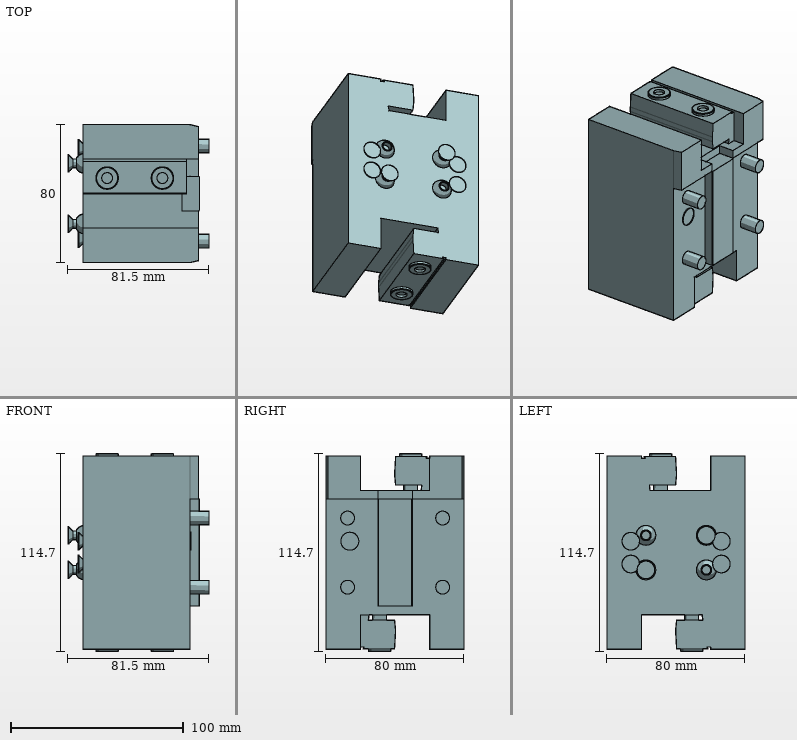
import cadquery as cq

BODY_LENGTH = 62.0
BODY_WIDTH = 80.0
BODY_HEIGHT = 112.0
HALF_HEIGHT = BODY_HEIGHT / 2
SLOT_WIDTH = 40.0
SLOT_DEPTH = 20.0
SLOT_FLOOR_Z = HALF_HEIGHT - SLOT_DEPTH

PLATE_THICKNESS = 5.0
PLATE_BOTTOM_Z = 31.0
PLATE_CHAMFER_WIDTH = 1.2
PLATE_FACE_X = BODY_LENGTH + PLATE_THICKNESS

KEY_WIDTH = 20.0
KEY_BACK_X = 57.3
KEY_PROUD = 0.5
KEY_EDGE_CHAMFER = 0.4
KEY_BOTTOM_Z = -PLATE_BOTTOM_Z

JAW_LENGTH = 60.0
JAW_TOP_RECESS = 0.35
JAW_TOP_Z = HALF_HEIGHT - JAW_TOP_RECESS
JAW_BOTTOM_Z = 39.0
JAW_FACE_Y = 0.25
JAW_RIDGE_Y = -0.25
JAW_RIDGE_TOP_Z = 47.0
JAW_RIDGE_BOTTOM_Z = 44.0
RELIEF_FLOOR_Z = 54.7
RELIEF_FLOOR_Y = 17.9
RELIEF_TOP_Y = 18.6
GAP_END_TOP_Y = 15.4
GAP_END_FLOOR_Y = 15.0

BOLT_X = (14.0, 46.0)
BOLT_Y = 9.0
BOLT_SHANK_DIAMETER = 8.2
BOLT_HEAD_DIAMETER = 13.0
BOLT_HEAD_TOP_Z = 57.35
BOLT_HEAD_CHAMFER = 0.4
BOLT_SOCKET_DIAMETER = 6.3
BOLT_SOCKET_DEPTH = 1.5

PIN_DIAMETER = 8.0
PIN_END_X = 73.0
PIN_Y = 27.5
PIN_Z = 20.0

BUTTON_Y = 17.5
BUTTON_Z = 10.0
BUTTON_RADIUS = 5.75
BUTTON_TOP_RADIUS = 3.1
BUTTON_HEIGHT = 3.8
BUTTON_MID_RADIUS = 4.8
BUTTON_MID_HEIGHT = 2.2
BUTTON_SOCKET_DIAMETER = 5.0
BUTTON_SOCKET_DEPTH = 3.5

CSK_HEAD_RADIUS = 5.1
CSK_NECK_RADIUS = 2.6
CSK_CONE_HEIGHT = CSK_HEAD_RADIUS - CSK_NECK_RADIUS
LOW_CSK_Y = 26.2
LOW_CSK_Z = 6.6
LOW_CSK_TOP = 2.8
LOW_CSK_RIM = 0.45
HIGH_CSK_TOP = 8.55
HIGH_CSK_RIM = 0.2

DISC_DIAMETER = 10.4
DISC_HEIGHT = 0.5

OVERLAP = 1.0


def turned_to_bottom(shape):
    """Return the shape turned half a turn about X, from the top end to the bottom end."""
    return shape.rotate((0, 0, 0), (1, 0, 0), 180)


def x_cylinder(diameter, start_x, end_x, y, z):
    disc = cq.Workplane("YZ", origin=(start_x, y, z)).circle(diameter / 2)
    return disc.extrude(end_x - start_x)


def make_body():
    block = cq.Workplane("XY").box(BODY_LENGTH, BODY_WIDTH, BODY_HEIGHT, centered=(False, True, True))
    slot = cq.Workplane("XY", origin=(0, 0, SLOT_FLOOR_Z)).box(
        BODY_LENGTH, SLOT_WIDTH, SLOT_DEPTH, centered=(False, True, False)
    )
    return block.cut(slot).cut(turned_to_bottom(slot))


def make_end_plate():
    half_width = BODY_WIDTH / 2
    face_half_width = half_width - PLATE_CHAMFER_WIDTH
    outline = [
        (BODY_LENGTH, -half_width),
        (PLATE_FACE_X, -face_half_width),
        (PLATE_FACE_X, face_half_width),
        (BODY_LENGTH, half_width),
    ]
    plate = (
        cq.Workplane("XY", origin=(0, 0, PLATE_BOTTOM_Z))
        .polyline(outline)
        .close()
        .extrude(HALF_HEIGHT - PLATE_BOTTOM_Z)
    )
    slot = cq.Workplane("XY", origin=(BODY_LENGTH, 0, SLOT_FLOOR_Z)).box(
        PLATE_THICKNESS, SLOT_WIDTH, SLOT_DEPTH, centered=(False, True, False)
    )
    return plate.cut(slot)


def make_key_notch():
    """Opening above the key, through the slot floor and the end plate."""
    return cq.Workplane("XY", origin=(KEY_BACK_X, 0, PLATE_BOTTOM_Z)).box(
        PLATE_FACE_X - KEY_BACK_X, KEY_WIDTH, SLOT_FLOOR_Z - PLATE_BOTTOM_Z, centered=(False, True, False)
    )


def make_key():
    key_face_x = PLATE_FACE_X + KEY_PROUD
    key = cq.Workplane("XY", origin=(KEY_BACK_X, 0, KEY_BOTTOM_Z)).box(
        key_face_x - KEY_BACK_X, KEY_WIDTH, PLATE_BOTTOM_Z - KEY_BOTTOM_Z, centered=(False, True, False)
    )
    return key.faces(">X").edges("|Z").chamfer(KEY_EDGE_CHAMFER)


def make_jaw():
    slot_wall_y = SLOT_WIDTH / 2
    outline = [
        (slot_wall_y, RELIEF_FLOOR_Z),
        (RELIEF_FLOOR_Y, RELIEF_FLOOR_Z),
        (RELIEF_TOP_Y, JAW_TOP_Z),
        (JAW_FACE_Y, JAW_TOP_Z),
        (JAW_RIDGE_Y, JAW_RIDGE_TOP_Z),
        (JAW_RIDGE_Y, JAW_RIDGE_BOTTOM_Z),
        (JAW_FACE_Y, JAW_BOTTOM_Z),
        (GAP_END_TOP_Y, JAW_BOTTOM_Z),
        (GAP_END_FLOOR_Y, SLOT_FLOOR_Z),
        (slot_wall_y, SLOT_FLOOR_Z),
    ]
    return cq.Workplane("YZ").polyline(outline).close().extrude(JAW_LENGTH)


def make_jaw_bolt(x):
    shank_height = JAW_BOTTOM_Z - SLOT_FLOOR_Z + 2 * OVERLAP
    shank = (
        cq.Workplane("XY", origin=(x, BOLT_Y, SLOT_FLOOR_Z - OVERLAP))
        .circle(BOLT_SHANK_DIAMETER / 2)
        .extrude(shank_height)
    )
    head = (
        cq.Workplane("XY", origin=(x, BOLT_Y, JAW_TOP_Z))
        .circle(BOLT_HEAD_DIAMETER / 2)
        .extrude(BOLT_HEAD_TOP_Z - JAW_TOP_Z)
        .faces(">Z")
        .edges()
        .chamfer(BOLT_HEAD_CHAMFER)
    )
    socket = (
        cq.Workplane("XY", origin=(x, BOLT_Y, BOLT_HEAD_TOP_Z - BOLT_SOCKET_DEPTH))
        .circle(BOLT_SOCKET_DIAMETER / 2)
        .extrude(BOLT_SOCKET_DEPTH)
    )
    return shank.union(head.cut(socket))


def make_clamp():
    """Jaw with its bolts, for the top slot."""
    clamp = make_jaw()
    for x in BOLT_X:
        clamp = clamp.union(make_jaw_bolt(x))
    return clamp


def make_button_head(y, z):
    profile = (
        cq.Workplane("XY")
        .moveTo(OVERLAP, 0)
        .lineTo(OVERLAP, BUTTON_RADIUS)
        .lineTo(0, BUTTON_RADIUS)
        .threePointArc((-BUTTON_MID_HEIGHT, BUTTON_MID_RADIUS), (-BUTTON_HEIGHT, BUTTON_TOP_RADIUS))
        .lineTo(-BUTTON_HEIGHT, 0)
        .close()
    )
    head = profile.revolve(360, (0, 0, 0), (1, 0, 0))
    socket = x_cylinder(BUTTON_SOCKET_DIAMETER, -BUTTON_HEIGHT, BUTTON_SOCKET_DEPTH - BUTTON_HEIGHT, 0, 0)
    return head.cut(socket).translate((0, y, z))


def make_countersunk_screw(top_height, rim_height, y, z):
    """Screw whose flat head stands top_height off the -X face, neck reaching toward the body."""
    outline = [
        (-top_height, 0),
        (-top_height, CSK_HEAD_RADIUS),
        (rim_height - top_height, CSK_HEAD_RADIUS),
        (rim_height + CSK_CONE_HEIGHT - top_height, CSK_NECK_RADIUS),
        (OVERLAP, CSK_NECK_RADIUS),
        (OVERLAP, 0),
    ]
    screw = cq.Workplane("XY").polyline(outline).close().revolve(360, (0, 0, 0), (1, 0, 0))
    return screw.translate((0, y, z))


result = make_body().union(make_end_plate()).cut(make_key_notch()).union(make_key())

clamp = make_clamp()
result = result.union(clamp).union(turned_to_bottom(clamp))

for y_side in (-1, 1):
    for z_side in (-1, 1):
        button_y = y_side * BUTTON_Y
        button_z = z_side * BUTTON_Z
        result = result.union(make_button_head(button_y, button_z))
        if y_side != z_side:
            high_screw = make_countersunk_screw(HIGH_CSK_TOP, HIGH_CSK_RIM, button_y, button_z)
            result = result.union(high_screw)
        low_csk_y = y_side * LOW_CSK_Y
        low_csk_z = z_side * LOW_CSK_Z
        low_screw = make_countersunk_screw(LOW_CSK_TOP, LOW_CSK_RIM, low_csk_y, low_csk_z)
        result = result.union(low_screw)
        pin = x_cylinder(PIN_DIAMETER, BODY_LENGTH - OVERLAP, PIN_END_X, y_side * PIN_Y, z_side * PIN_Z)
        result = result.union(pin)

disc = x_cylinder(DISC_DIAMETER, BODY_LENGTH - OVERLAP, BODY_LENGTH + DISC_HEIGHT, -LOW_CSK_Y, LOW_CSK_Z)
result = result.union(disc)